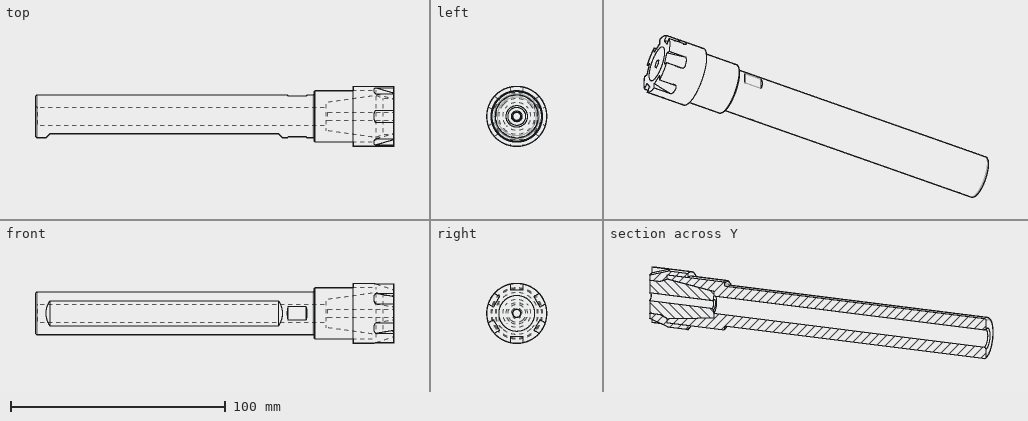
import cadquery as cq
import math

total_length = 167.0

shank_radius = 10.0
shank_end_fillet = 1.0
collar_start = 129.8
collar_radius = 12.0
collar_chamfer = 0.5
neck_fillet = 0.5
nose_end = 158.6
bore_radius = 4.2
bore_chamfer = 0.8

clamp_flat_start = 6.7
clamp_flat_end = 113.2
clamp_flat_offset = 8.2

wrench_flat_start = 117.7
wrench_flat_end = 126.1
wrench_flat_offset = 9.5

nut_start = 148.0
nut_radius = 14.0
slot_count = 6
slot_width = 5.7
slot_start = 157.8
slot_start_depth = 0.08
slot_end_depth = 3.2
slot_length = total_length - slot_start

collet_start = 135.3
collet_widest = nose_end
collet_taper_angle = 8.0
collet_rear_radius = 6.5
collet_cone_growth = (collet_widest - collet_start) * math.tan(math.radians(collet_taper_angle))
collet_max_radius = collet_rear_radius + collet_cone_growth
collet_shoulder_end = 162.0
collet_front_radius = 8.4
collet_bore_radius = 1.8
collet_bore_chamfer = 0.7


def revolve_about_x(profile):
    """Turn a closed outline of (x, radius) points around the X axis."""
    return cq.Workplane("XY").polyline(profile).close().revolve(360, (0, 0, 0), (1, 0, 0))


def flat_cutter(start, end, offset):
    """Material to remove on the -Y side down to a flat, with 45 degree end walls."""
    reach = nut_radius - offset
    outline = [
        (start, -offset),
        (end, -offset),
        (end + reach, -nut_radius),
        (start - reach, -nut_radius),
    ]
    return cq.Workplane("XY").polyline(outline).close().extrude(shank_radius, both=True)


def make_holder():
    holder = revolve_about_x([
        (0, bore_radius + bore_chamfer),
        (0, shank_radius),
        (collar_start, shank_radius),
        (collar_start, collar_radius - collar_chamfer),
        (collar_start + collar_chamfer, collar_radius),
        (nose_end, collar_radius),
        (nose_end, collet_max_radius),
        (collet_start, collet_rear_radius),
        (collet_start, bore_radius),
        (bore_chamfer, bore_radius),
    ])
    largest = cq.selectors.RadiusNthSelector(-1)
    smallest = cq.selectors.RadiusNthSelector(0)
    collar_face = cq.selectors.NearestToPointSelector((collar_start, 0, 0))
    holder = holder.faces("<X").edges(largest).fillet(shank_end_fillet)
    holder = holder.faces(collar_face).edges(smallest).fillet(neck_fillet)
    holder = holder.cut(flat_cutter(clamp_flat_start, clamp_flat_end, clamp_flat_offset))
    wrench_cutter = flat_cutter(wrench_flat_start, wrench_flat_end, wrench_flat_offset)
    return holder.cut(wrench_cutter).cut(wrench_cutter.mirror("XZ"))


def make_collet():
    return revolve_about_x([
        (collet_start, collet_bore_radius + collet_bore_chamfer),
        (collet_start, collet_rear_radius),
        (collet_widest, collet_max_radius),
        (collet_shoulder_end, collet_front_radius),
        (total_length, collet_front_radius),
        (total_length, collet_bore_radius),
        (collet_start + collet_bore_chamfer, collet_bore_radius),
    ])


def slot_cutter():
    """Wrench slot at the top of the nut, its floor sloping down to the front face."""
    outline = [
        (slot_start, nut_radius - slot_start_depth),
        (total_length, nut_radius - slot_end_depth),
        (total_length, nut_radius + slot_length),
        (slot_start, nut_radius + slot_length),
    ]
    return cq.Workplane("XZ").polyline(outline).close().extrude(slot_width / 2, both=True)


def make_nut():
    nut = revolve_about_x([
        (nut_start, collar_radius),
        (nut_start, nut_radius),
        (total_length, nut_radius),
        (total_length, collet_front_radius),
        (collet_shoulder_end, collet_front_radius),
        (collet_widest, collet_max_radius),
        (nose_end, collar_radius),
    ])
    for index in range(slot_count):
        angle = index * 360 / slot_count
        nut = nut.cut(slot_cutter().rotate((0, 0, 0), (1, 0, 0), angle))
    return nut


holder = make_holder()
collet = make_collet()
nut = make_nut()

result = cq.Compound.makeCompound([holder.val(), collet.val(), nut.val()])